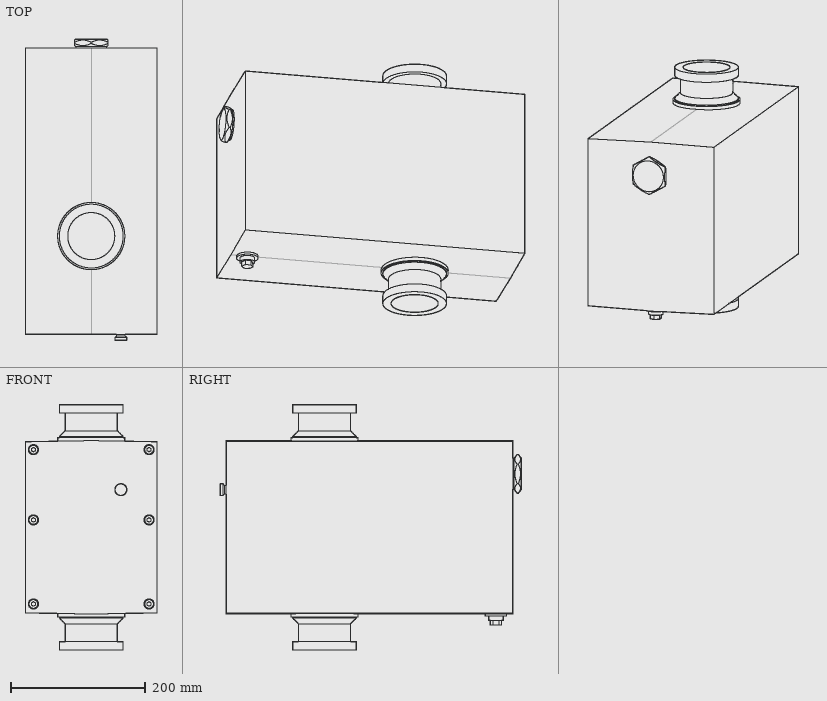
import cadquery as cq
import math

HOUSING_WIDTH = 196.0
HOUSING_LENGTH = 426.2
EDGE_HEIGHT = 255.0
RIDGE_RISE = 1.4
RIDGE_Z = EDGE_HEIGHT / 2 + RIDGE_RISE
FRONT_Y = -146.2
BACK_Y = FRONT_Y + HOUSING_LENGTH

OVERALL_HEIGHT = 365.0
FLANGE_DIAMETER = 95.0
FLANGE_THICKNESS = 12.5
TUBE_DIAMETER = 78.0
CONE_START = 39.0
CONE_END = 47.3
COLLAR_DIAMETER = 100.0
COLLAR_START = 49.0
BORE_DIAMETER = 70.0
BORE_DEPTH = 0.5

SCREW_INSET = 12.0
SCREW_X = HOUSING_WIDTH / 2 - SCREW_INSET
SCREW_ROWS = (115.5, 11.0, -114.0)
COUNTERBORE_DIAMETER = 15.0
SCREW_HEAD_DIAMETER = 13.0
SCREW_RECESS = 2.0
SCREW_HEAD_DROP = 0.5
SOCKET_DIAMETER = 6.65
SOCKET_DEPTH = 1.5

KNOB_X = 44.0
KNOB_Z = 56.0
KNOB_STEM_DIAMETER = 13.0
KNOB_HEAD_DIAMETER = 18.0
KNOB_LENGTH = 9.0
KNOB_STEM_LENGTH = 2.5
KNOB_FLARE_LENGTH = 2.5
KNOB_FACE_DIAMETER = 17.0

PLUG_Z = 79.5
PLUG_ACROSS_FLATS = 50.0
PLUG_LENGTH = 12.8
PLUG_COLLAR_LENGTH = 2.0
PLUG_COLLAR_DIAMETER = 46.0
PLUG_FACE_DIAMETER = 47.0
PLUG_CHAMFER_ANGLE = 40.0

DRAIN_Y = 255.0
DRAIN_FLANGE_DIAMETER = 32.0
DRAIN_FLANGE_DROP = 4.5
DRAIN_BODY_DIAMETER = 22.0
DRAIN_BODY_DROP = 11.0
DRAIN_HEX_DIAMETER = 17.0
DRAIN_HEX_DROP = 18.0


def make_housing():
    half_width = HOUSING_WIDTH / 2
    half_edge = EDGE_HEIGHT / 2
    outline = [
        (-half_width, -half_edge),
        (0, -RIDGE_Z),
        (half_width, -half_edge),
        (half_width, half_edge),
        (0, RIDGE_Z),
        (-half_width, half_edge),
    ]
    front = cq.Workplane("XZ", origin=(0, FRONT_Y, 0))
    return front.polyline(outline).close().extrude(-HOUSING_LENGTH)


def make_stub():
    """Upper pipe stub, revolved about Z and sunk into the housing."""
    top = OVERALL_HEIGHT / 2
    outline = [
        (0, top - BORE_DEPTH),
        (BORE_DIAMETER / 2, top - BORE_DEPTH),
        (BORE_DIAMETER / 2, top),
        (FLANGE_DIAMETER / 2, top),
        (FLANGE_DIAMETER / 2, top - FLANGE_THICKNESS),
        (TUBE_DIAMETER / 2, top - FLANGE_THICKNESS),
        (TUBE_DIAMETER / 2, top - CONE_START),
        (FLANGE_DIAMETER / 2, top - CONE_END),
        (FLANGE_DIAMETER / 2, top - COLLAR_START),
        (COLLAR_DIAMETER / 2, top - COLLAR_START),
        (COLLAR_DIAMETER / 2, 0),
        (0, 0),
    ]
    return cq.Workplane("XZ").polyline(outline).close().revolve(360, (0, 0), (0, 1))


def cut_screws(body):
    """Sink the screws in a front plane whose local x axis is Z, so socket corners point up."""
    points = [(row, side * SCREW_X) for side in (-1, 1) for row in SCREW_ROWS]
    face = cq.Plane(origin=(0, FRONT_Y, 0), xDir=(0, 0, 1), normal=(0, -1, 0))
    front = cq.Workplane(face).pushPoints(points)
    recess = front.circle(COUNTERBORE_DIAMETER / 2).extrude(-SCREW_RECESS)
    head = front.circle(SCREW_HEAD_DIAMETER / 2).extrude(-SCREW_RECESS)
    clearance = front.circle(SCREW_HEAD_DIAMETER / 2).extrude(-SCREW_HEAD_DROP)
    socket_depth = SCREW_HEAD_DROP + SOCKET_DEPTH
    socket = front.polygon(6, SOCKET_DIAMETER).extrude(-socket_depth)
    return body.cut(recess.cut(head)).cut(clearance).cut(socket)


def make_knob():
    """Flared knob, revolved about an axis parallel to Y."""
    flare_end = KNOB_STEM_LENGTH + KNOB_FLARE_LENGTH
    rim = (KNOB_HEAD_DIAMETER - KNOB_FACE_DIAMETER) / 2
    outline = [
        (0, 0),
        (KNOB_STEM_DIAMETER / 2, 0),
        (KNOB_STEM_DIAMETER / 2, -KNOB_STEM_LENGTH),
        (KNOB_HEAD_DIAMETER / 2, -flare_end),
        (KNOB_HEAD_DIAMETER / 2, -KNOB_LENGTH + rim),
        (KNOB_FACE_DIAMETER / 2, -KNOB_LENGTH),
        (0, -KNOB_LENGTH),
    ]
    section = cq.Workplane("XY", origin=(KNOB_X, FRONT_Y, KNOB_Z)).polyline(outline).close()
    return section.revolve(360, (0, 0), (0, 1))


def make_plug():
    """Hexagonal plug with both ends chamfered, corners pointing up and down."""
    corner = PLUG_ACROSS_FLATS / 2 / math.cos(math.pi / 6)
    face = PLUG_FACE_DIAMETER / 2
    drop = (corner - face) * math.tan(math.radians(PLUG_CHAMFER_ANGLE))
    start = PLUG_COLLAR_LENGTH
    envelope_outline = [
        (0, start),
        (face, start),
        (corner, start + drop),
        (corner, PLUG_LENGTH - drop),
        (face, PLUG_LENGTH),
        (0, PLUG_LENGTH),
    ]
    base = cq.Workplane("XY", origin=(0, BACK_Y, PLUG_Z))
    envelope = base.polyline(envelope_outline).close().revolve(360, (0, 0), (0, 1))
    back = cq.Workplane("XZ", origin=(0, BACK_Y, PLUG_Z))
    prism = back.transformed(rotate=(0, 0, 90)).polygon(6, 2 * corner).extrude(-PLUG_LENGTH)
    collar = back.circle(PLUG_COLLAR_DIAMETER / 2).extrude(-PLUG_COLLAR_LENGTH)
    return prism.intersect(envelope).union(collar)


def make_drain():
    base = cq.Workplane("XY", origin=(0, DRAIN_Y, -EDGE_HEIGHT / 2))
    flange = base.circle(DRAIN_FLANGE_DIAMETER / 2).extrude(-DRAIN_FLANGE_DROP)
    body = base.circle(DRAIN_BODY_DIAMETER / 2).extrude(-DRAIN_BODY_DROP)
    hexagon = base.transformed(rotate=(0, 0, 90)).polygon(6, DRAIN_HEX_DIAMETER).extrude(-DRAIN_HEX_DROP)
    return flange.union(body).union(hexagon)


upper_stub = make_stub()
lower_stub = upper_stub.mirror("XY")
body = cut_screws(make_housing()).union(upper_stub).union(lower_stub)
result = body.union(make_knob()).union(make_plug()).union(make_drain())